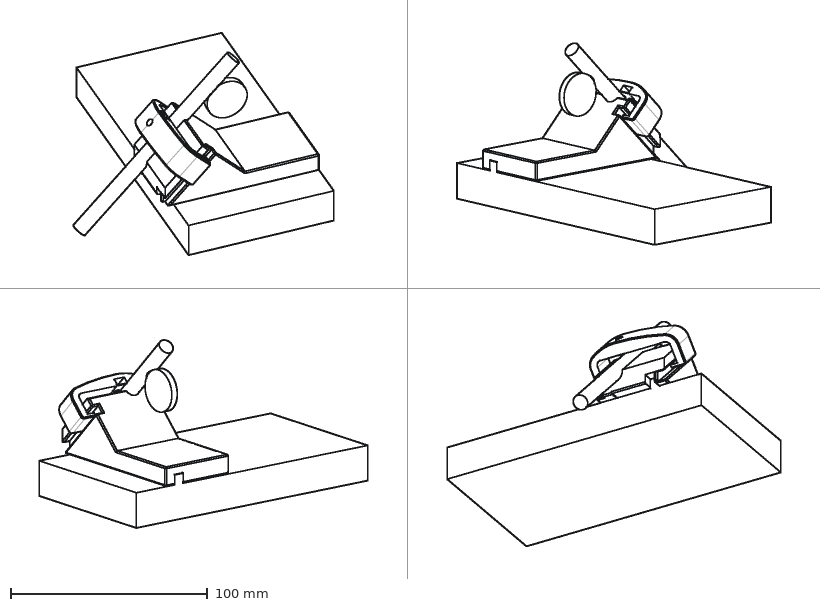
import cadquery as cq
import math

base_length = 150.0
base_depth = 80.0
base_height = 18.6
key_width = 5.4
key_height = 5.2

block_left = 89.8
block_width = 41.1
nose_overhang = 5.1
nose_height = 12.3
tail_height = 10.2
tail_length = 40.8
edge_chamfer = 0.8
rail_height = 5.2
slot_height = 4.4
slot_depth = 4.2
left_foot_width = 10.0
relief_height = 0.6
channel_offset = 29.8
channel_clearance = 0.3

rod_x = 102.5
rod_diameter = 8.0
rod_length = 120.0
rod_overrun = 39.9

disc_diameter = 22.0
disc_thickness = 3.6
disc_y = 40.0
disc_z = 56.2

clamp_start = 5.0
clamp_length = 15.0
clamp_width = 52.0
clamp_drop = 8.5
clamp_crown = 12.8
crown_radius_left = 27.8
crown_radius_right = 130.5
shoulder_radius = 7.2
leg_radius = 1.5
clamp_chamfer = 0.6
mouth_width = 43.0
mouth_ceiling = 5.7
mouth_radius = 2.7
hook_thickness = 2.0
hook_reach = 4.0
screw_diameter = 3.8
nut_width = 6.5
nut_thickness = 3.6
nut_floor = 0.5

tolerance = 0.02

block_right = block_left + block_width
clamp_left = block_left + (block_width - clamp_width) / 2
clamp_right = clamp_left + clamp_width
block_centre = block_left + block_width / 2
relief_left = block_left + left_foot_width
channel_left = block_left + channel_offset
nose_y = -nose_overhang
nose_z = base_height + nose_height
tail_y = base_depth - tail_length
tail_z = base_height + tail_height

peak_y = (tail_y + tail_z - nose_z + nose_y) / 2
peak_z = nose_z + peak_y - nose_y

slot_floor = -rail_height - slot_height

rail_frame = cq.Plane(origin=(0, peak_y, peak_z), xDir=(1, 0, 0), normal=(0, -1, -1))


def on_rail(shape):
    """Move a shape built at the origin into the rail frame."""
    return shape.newObject([shape.val().moved(cq.Location(rail_frame))])


def box(left, width, front, depth, bottom, height):
    """Box along the axes given by its lowest corner and its sizes."""
    return cq.Workplane("XY").box(width, depth, height, centered=False).translate((left, front, bottom))


def rod_cylinder():
    """Full round bar along the rod axis."""
    bar = cq.Workplane("XY", origin=(rod_x, 0, -rod_overrun)).circle(rod_diameter / 2).extrude(rod_length)
    return on_rail(bar)


def disc_cylinder(left, width):
    """Cylinder along X about the disc axis."""
    return cq.Workplane("YZ", origin=(left, 0, 0)).center(disc_y, disc_z).circle(disc_diameter / 2).extrude(width)


def make_base():
    plate = box(0, base_length, 0, base_depth, 0, base_height)
    key = box(channel_left, key_width, 0, base_depth, base_height, key_height)
    return plate.union(key)


def stays_sharp(edge):
    """True for inside corners and for the outer edges of the rail face and the nose."""
    middle = edge.Center()
    direction = edge.tangentAt(0)
    along_x = abs(direction.z) + abs(direction.y) < tolerance
    along_rail = abs(direction.y - direction.z) < tolerance
    outer_side = middle.x < block_left + tolerance or middle.x > block_right - tolerance
    if along_x:
        on_nose_top = abs(middle.z - nose_z) < tolerance
        on_tail_break = abs(middle.y - tail_y) < tolerance
        return on_nose_top or on_tail_break
    if along_rail and outer_side:
        return abs(middle.z - middle.y - peak_z + peak_y) < tolerance
    if along_rail:
        return True
    return outer_side and middle.y < nose_y + tolerance


def cut_slots(block):
    """Side slots along the whole rail, open at both ends."""
    reach = 2 * block_width
    for wall in (block_left, block_right):
        slot = box(wall - slot_depth, 2 * slot_depth, slot_floor, slot_height, -reach, 2 * reach)
        block = block.cut(on_rail(slot))
    return block


def cut_underside(block):
    """Shallow relief with a flared front, and the channel that fits over the key."""
    relief_z = base_height + relief_height
    profile = [
        (nose_y, base_height),
        (nose_y, relief_z + edge_chamfer),
        (nose_y + edge_chamfer, relief_z),
        (base_depth, relief_z),
        (base_depth, base_height),
    ]
    relief_width = channel_left - relief_left
    relief = cq.Workplane("YZ", origin=(relief_left, 0, 0)).polyline(profile).close().extrude(relief_width)
    channel_depth = key_height + channel_clearance
    channel = box(channel_left, key_width, nose_y, base_depth - nose_y, base_height, channel_depth)
    return block.cut(relief).cut(channel)


def make_block():
    outline = [
        (nose_y, base_height),
        (nose_y, nose_z),
        (peak_y, peak_z),
        (tail_y, tail_z),
        (base_depth, tail_z),
        (base_depth, base_height),
    ]
    block = cq.Workplane("YZ", origin=(block_left, 0, 0)).polyline(outline).close().extrude(block_width)
    block = cut_slots(block)
    broken_edges = [edge for edge in block.edges().vals() if not stays_sharp(edge)]
    block = block.newObject(broken_edges).chamfer(edge_chamfer)
    return cut_underside(block).cut(rod_cylinder())


def make_rod():
    """Round bar with a hollow across it where the disc rests."""
    hollow = disc_cylinder(rod_x - rod_diameter, 2 * rod_diameter)
    return rod_cylinder().cut(hollow)


def make_disc():
    return disc_cylinder(rod_x - disc_thickness / 2, disc_thickness)


def crown_height(x):
    """Height of the crown above the rail; each side of the rod has its own radius."""
    radius = crown_radius_left if x < rod_x else crown_radius_right
    return clamp_crown - radius + math.sqrt(radius**2 - (x - rod_x) ** 2)


def clamp_blank():
    """Crowned block with rounded shoulders and feet and broken end edges."""
    left_knee = (clamp_left + rod_x) / 2
    right_knee = (clamp_right + rod_x) / 2
    blank = (
        cq.Workplane("XY", origin=(0, 0, clamp_start))
        .moveTo(clamp_left, -clamp_drop)
        .lineTo(clamp_left, crown_height(clamp_left))
        .threePointArc((left_knee, crown_height(left_knee)), (rod_x, clamp_crown))
        .threePointArc((right_knee, crown_height(right_knee)), (clamp_right, crown_height(clamp_right)))
        .lineTo(clamp_right, -clamp_drop)
        .close()
        .extrude(clamp_length)
    )
    blank = blank.faces("<Y").edges("|Z").fillet(leg_radius)
    for side in ("<X", ">X"):
        blank = blank.faces(side).edges("|Z").edges(">Y").fillet(shoulder_radius)
    return blank.faces("<Z or >Z").edges().chamfer(clamp_chamfer)


def clamp_mouth():
    """Opening around the rail, narrowed at the bottom by the two hooks."""
    hook_top = hook_thickness - clamp_drop
    mouth_left = block_centre - mouth_width / 2
    mouth = box(mouth_left, mouth_width, hook_top, mouth_ceiling - hook_top, clamp_start, clamp_length)
    mouth = mouth.edges("|Z and >Y").fillet(mouth_radius)
    gap_left = mouth_left + hook_reach
    gap_width = mouth_width - 2 * hook_reach
    gap = box(gap_left, gap_width, -clamp_drop, hook_thickness, clamp_start, clamp_length)
    return mouth.union(gap)


def screw_hole():
    """Round hole from the crown down to the mouth, at mid length."""
    start = cq.Vector(rod_x, 0, clamp_start + clamp_length / 2)
    return cq.Workplane(cq.Solid.makeCylinder(screw_diameter / 2, clamp_crown, start, cq.Vector(0, 1, 0)))


def nut_pocket():
    """Pocket from the upper end of the clamp, reaching past the screw hole."""
    depth = (clamp_length + nut_width) / 2
    bottom = mouth_ceiling + nut_floor
    return box(rod_x - nut_width / 2, nut_width, bottom, nut_thickness, clamp_start, depth)


def make_clamp():
    clamp = clamp_blank().cut(clamp_mouth()).cut(screw_hole()).cut(nut_pocket())
    return on_rail(clamp)


base = make_base()
block = make_block()
rod = make_rod()
disc = make_disc()
clamp = make_clamp()

result = cq.Compound.makeCompound([base.val(), block.val(), rod.val(), disc.val(), clamp.val()])